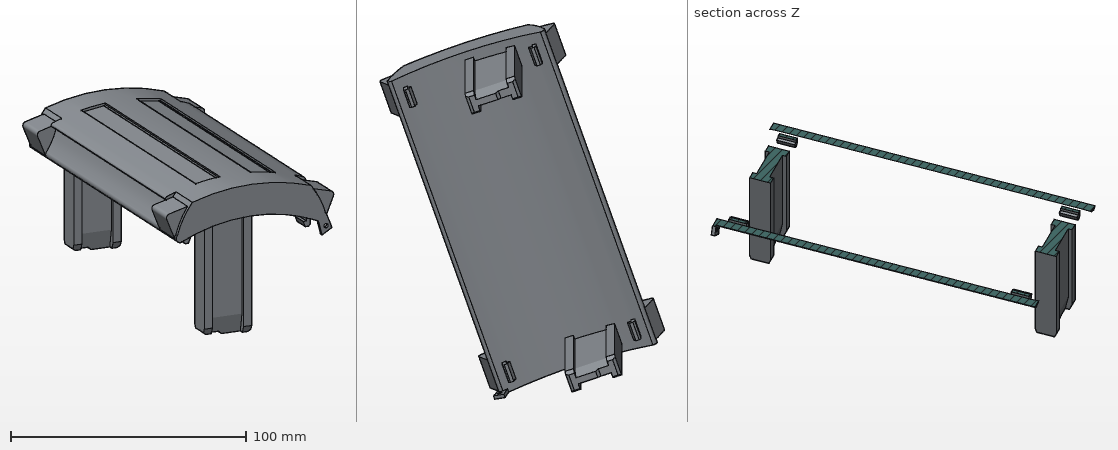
import cadquery as cq
import math

length = 146.7
half_length = length / 2
height = 67.0

outer_radius = 92.4
cover_thickness = 14.1
inner_radius = outer_radius - cover_thickness
shoulder_y = 27.9
end_flank_mid = (32.1, -11.0)
toe_start = (34.9, -18.2)
toe_mid = (35.2, -20.4)
toe_end_y = 33.5

end_zone = 16.3
middle_length = length - 2 * end_zone

lip_rim_y = 32.0
lip_nose = (32.9, -7.2)
lip_nose_bulge = 0.22
lip_root = (30.5, -8.7)
middle_flank_mid = (32.1, -13.2)

block_inset = 1.6
block_top_inner = (29.2, -6.3)
block_corner = (39.9, -9.1)
block_foot = (35.4, -20.1)
block_core_y = 32.3
block_round = 1.8

recess_offset = 13.0
recess_width = 11.6
recess_step = 1.0
ledge_depth = 1.0
step_depth = 0.1
recess_clearance = 3.0

leg_centre_x = half_length - 8.2
leg_width = 9.7
leg_foot_width = 7.2
leg_back_y = 1.6
leg_front_y = -20.7
rib_width = 3.8
web_width = 6.2
web_foot_width = 3.0
web_taper_top_z = -59.0
foot_taper = 3.0
front_foot_rise = 1.3
foot_bevel_y = 1.3
foot_bevel_z = 1.0
foot_step_y = -11.0
leg_root_z = -8.8

hook_length = 8.2
hook_outer_y = 29.8
hook_stem = 1.8
hook_barb_y = 26.4
hook_barb_z = -21.5
hook_bottom_z = -24.0
hook_bottom_width = 1.5
hook_bottom_y = 28.9
hook_bevel_z = -23.2
hook_root_z = -14.7

tab_thickness = 1.6
tab_outline = [(35.0, -17.6), (37.7, -24.4), (33.0, -27.1), (31.1, -19.7)]
tab_hole = (34.9, -23.2)
tab_hole_diameter = 1.9


def arc_z(radius, y):
    """Height on the cover arc of the given radius at y."""
    return math.sqrt(radius ** 2 - y ** 2) - outer_radius


def extrude_x(outline, x_start, x_length):
    """Extrude a closed YZ outline along +X from x_start."""
    return outline.extrude(x_length).translate((x_start, 0, 0))


def both_sides(shape):
    """The shape and its mirror image across the XZ plane."""
    return shape.union(shape.mirror("XZ"))


def both_ends(shape):
    """The shape and its mirror image across the YZ plane."""
    return shape.union(shape.mirror("YZ"))


def make_cover_half(x_length, rim_y, add_flank):
    """The +Y half of a cover segment; add_flank draws from the rim of the outer arc to the toe."""
    toe_end = (toe_end_y, arc_z(inner_radius, toe_end_y))
    outline = cq.Workplane("YZ").moveTo(0, 0).threePointArc(
        (rim_y / 2, arc_z(outer_radius, rim_y / 2)), (rim_y, arc_z(outer_radius, rim_y))
    )
    outline = add_flank(outline).threePointArc(toe_mid, toe_end).threePointArc(
        (toe_end_y / 2, arc_z(inner_radius, toe_end_y / 2)), (0, -cover_thickness)
    ).close()
    return extrude_x(outline, -x_length / 2, x_length)


def add_end_flank(outline):
    """Convex flank of the end zones."""
    return outline.threePointArc(end_flank_mid, toe_start)


def add_lipped_flank(outline):
    """Rounded lip nose, sloping lip underside and concave flank of the middle length."""
    rim_z = arc_z(outer_radius, lip_rim_y)
    nose_mid_y = (lip_rim_y + lip_nose[0]) / 2 + lip_nose_bulge
    nose_mid_z = (rim_z + lip_nose[1]) / 2 + lip_nose_bulge
    return (
        outline.threePointArc((nose_mid_y, nose_mid_z), lip_nose)
        .lineTo(*lip_root)
        .threePointArc(middle_flank_mid, toe_start)
    )


def make_cover():
    middle = make_cover_half(middle_length, lip_rim_y, add_lipped_flank)
    end = make_cover_half(end_zone, shoulder_y, add_end_flank)
    end = end.translate((-(half_length - end_zone / 2), 0, 0))
    return both_sides(middle.union(both_ends(end)))


def make_block():
    outline = cq.Workplane("YZ").polyline(
        [block_top_inner, block_corner, block_foot, (block_core_y, block_foot[1])]
    ).close()
    block = extrude_x(outline, -half_length + block_inset, end_zone - block_inset)
    return block.edges("|X").edges(">Y").fillet(block_round)


def make_recess():
    """Cutter for one recess, with its floor square to the cover radius."""
    ledge_radius = outer_radius - ledge_depth
    inner_width = recess_width - 2 * recess_step
    ledge = cq.Workplane("XY").rect(middle_length, recess_width).extrude(recess_clearance)
    floor = cq.Workplane("XY").rect(middle_length, inner_width).extrude(-step_depth)
    cutter = ledge.union(floor).translate((0, 0, ledge_radius))
    tilt = math.degrees(math.asin(recess_offset / outer_radius))
    return cutter.rotate((0, 0, 0), (1, 0, 0), -tilt).translate((0, 0, -outer_radius))


def tapered_bar(width, foot_width, taper_z, bottom_z, y_start, y_length):
    """Upright bar centred on X = 0 that narrows from taper_z down to bottom_z."""
    outline = cq.Workplane("XZ").polyline([
        (-width / 2, leg_root_z),
        (width / 2, leg_root_z),
        (width / 2, taper_z),
        (foot_width / 2, bottom_z),
        (-foot_width / 2, bottom_z),
        (-width / 2, taper_z),
    ]).close()
    return outline.extrude(-y_length).translate((0, y_start, 0))


def make_leg():
    bottom_z = -height
    front_bottom_z = bottom_z + front_foot_rise
    back_rib = tapered_bar(
        leg_width, leg_foot_width, bottom_z + foot_taper, bottom_z, leg_back_y - rib_width, rib_width
    )
    front_rib = tapered_bar(
        leg_width, leg_foot_width, front_bottom_z + foot_taper, front_bottom_z, leg_front_y, rib_width
    )
    web = tapered_bar(
        web_width, web_foot_width, web_taper_top_z, bottom_z, leg_front_y, leg_back_y - leg_front_y
    )
    side_outline = cq.Workplane("YZ").polyline([
        (leg_back_y, leg_root_z),
        (leg_back_y, bottom_z + foot_bevel_z),
        (leg_back_y - foot_bevel_y, bottom_z),
        (foot_step_y, bottom_z),
        (foot_step_y - front_foot_rise, front_bottom_z),
        (leg_front_y + foot_bevel_y, front_bottom_z),
        (leg_front_y, front_bottom_z + foot_bevel_z),
        (leg_front_y, leg_root_z),
    ]).close()
    side_shape = extrude_x(side_outline, -leg_width / 2, leg_width)
    leg = back_rib.union(front_rib).union(web).intersect(side_shape)
    return leg.translate((-leg_centre_x, 0, 0))


def make_hook():
    stem_inner_y = hook_outer_y - hook_stem
    outline = cq.Workplane("YZ").polyline([
        (hook_outer_y, hook_root_z),
        (hook_outer_y, hook_bevel_z),
        (hook_bottom_y, hook_bottom_z),
        (hook_bottom_y - hook_bottom_width, hook_bottom_z),
        (hook_barb_y, hook_barb_z),
        (stem_inner_y, hook_barb_z),
        (stem_inner_y, hook_root_z),
    ]).close()
    hook_end_x = -leg_centre_x + leg_width / 2
    return extrude_x(outline, hook_end_x - hook_length, hook_length)


def make_tab():
    outline = cq.Workplane("YZ").polyline(tab_outline).close()
    hole = cq.Workplane("YZ").center(*tab_hole).circle(tab_hole_diameter / 2)
    start_x = half_length - tab_thickness
    return extrude_x(outline, start_x, tab_thickness).cut(extrude_x(hole, start_x, tab_thickness))


cover = make_cover().cut(both_sides(make_recess()))
corner_parts = both_sides(make_block()).union(both_sides(make_hook())).union(make_leg())
result = cover.union(both_ends(corner_parts)).union(make_tab())